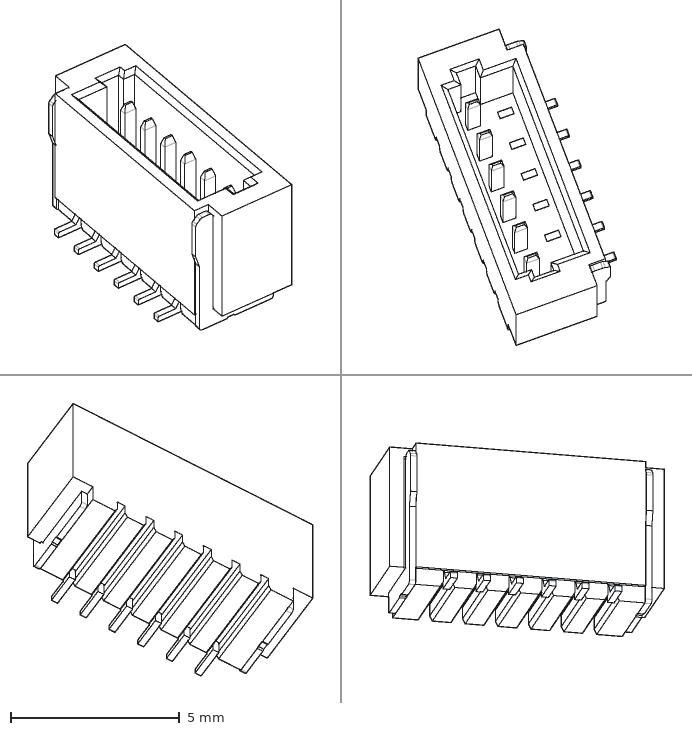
import cadquery as cq


height = 4.42
ear_span = 8.35
ear_front = -2.56
ear_bottom = 0.655
body_half_width = 3.49
body_front = -3.07
base_front = -2.95
base_height = 0.51

lead_in = 0.155
socket_half_width = 3.005
socket_back = -0.51
socket_front = -2.56
socket_floor = 1.0
left_key_end = -3.255
right_key_end = 3.395
key_lead_in = 0.13
key_back = -0.92
key_front = -1.53

pin_count = 6
pitch = 1.0
pin_width = 0.21
post_back = -0.91
post_front = -1.315
post_top = 3.785
tip_height = 0.24
tip_inset = 0.075
shoulder_back = -1.93
shoulder_front = -2.37
shoulder_rise = 0.03
lead_tip = -3.75
lead_thickness = 0.20
lead_tip_radius = 0.045
bend_start = -3.11
bend_top = 0.455
riser_back = base_front + lead_thickness

channel_width = 0.27
channel_mouth_width = 0.43
channel_mouth_height = 0.155

tab_thickness = 0.195
tab_slot_width = 0.245
tab_top = 4.22
tab_back = -2.50
tab_back_chamfer = 0.125
tab_back_radius = 0.10
tab_bulge_front = -3.165
tab_bulge_bottom = 2.845
tab_bulge_chamfer = 0.20
tab_bulge_radius = 0.12
tab_stem_front = -3.025
tab_stem_top = 2.42
tab_foot_back = -0.31
tab_foot_radius = 0.10
tab_notch_center = -1.87
tab_notch_bottom_width = 0.30
tab_notch_top_width = 0.20
tab_notch_height = 0.045

pin_xs = [(i - (pin_count - 1) / 2) * pitch for i in range(pin_count)]


def block(half_width, front, back, bottom, top):
    """Box centred on x = 0."""
    return (
        cq.Workplane("XY", origin=(0, (front + back) / 2, bottom))
        .rect(2 * half_width, back - front)
        .extrude(top - bottom)
    )


def side_plate(points, x_start, width):
    """Closed (y, z) outline extruded towards +X from x_start."""
    return cq.Workplane("YZ", origin=(x_start, 0, 0)).polyline(points).close().extrude(width)


def flared_pocket(half_width, front, back, side_flare):
    """Rectangular pocket whose rim flares outwards over the lead-in height."""
    flare_bottom = height - lead_in
    straight = block(half_width, front, back, socket_floor, flare_bottom)
    flare = (
        cq.Workplane("XY", origin=(0, (front + back) / 2, flare_bottom))
        .rect(2 * half_width, back - front)
        .workplane(offset=lead_in)
        .rect(2 * (half_width + side_flare), back - front + 2 * lead_in)
        .loft(ruled=True)
    )
    return straight.union(flare)


def pin_channel(x):
    """Channel along Y under the base, flared at its mouth."""
    half = channel_width / 2
    mouth_half = channel_mouth_width / 2
    outline = [
        (x - mouth_half, 0),
        (x - half, channel_mouth_height),
        (x - half, base_height),
        (x + half, base_height),
        (x + half, channel_mouth_height),
        (x + mouth_half, 0),
    ]
    return cq.Workplane("XZ").polyline(outline).close().extrude(-base_front)


def terminal(x):
    """Contact post, shoulder and bent solder lead of one terminal."""
    post_depth = post_back - post_front
    tip_bottom = post_top - tip_height
    post_center = (x, (post_back + post_front) / 2)
    post = (
        cq.Workplane("XY", origin=(*post_center, base_height))
        .rect(pin_width, post_depth)
        .extrude(tip_bottom - base_height)
    )
    tip = (
        cq.Workplane("XY", origin=(*post_center, tip_bottom))
        .rect(pin_width, post_depth)
        .workplane(offset=tip_height)
        .rect(pin_width - 2 * tip_inset, post_depth - 2 * tip_inset)
        .loft(ruled=True)
    )
    shoulder = block(
        pin_width / 2, shoulder_front, shoulder_back, base_height, socket_floor + shoulder_rise
    ).translate((x, 0, 0))
    lead_outline = [
        (lead_tip, 0),
        (lead_tip, lead_thickness),
        (bend_start, lead_thickness),
        (base_front, bend_top),
        (base_front, base_height),
        (riser_back, base_height),
        (riser_back, 0),
    ]
    lead = side_plate(lead_outline, x - pin_width / 2, pin_width)
    lead = lead.faces("<Y").edges(">Z").fillet(lead_tip_radius)
    return post.union(tip).union(shoulder).union(lead)


def tab_plate(x_start, width):
    """L-shaped tab profile: bulged upright in front of the ear, foot under it."""
    outline = [
        (tab_foot_back, 0),
        (tab_foot_back, ear_bottom),
        (tab_back, ear_bottom),
        (tab_back, tab_top - tab_back_chamfer),
        (tab_back - tab_back_chamfer, tab_top),
        (tab_bulge_front + tab_bulge_chamfer, tab_top),
        (tab_bulge_front, tab_top - tab_bulge_chamfer),
        (tab_bulge_front, tab_bulge_bottom),
        (tab_stem_front, tab_stem_top),
        (tab_stem_front, 0),
    ]
    plate = side_plate(outline, x_start, width)

    def corner(y, z):
        """Selector for the plate edge along X at (y, z)."""
        reach = 0.01
        return cq.selectors.BoxSelector(
            (x_start - reach, y - reach, z - reach), (x_start + width + reach, y + reach, z + reach)
        )

    plate = plate.edges(corner(tab_back - tab_back_chamfer, tab_top)).fillet(tab_back_radius)
    plate = plate.edges(corner(tab_bulge_front + tab_bulge_chamfer, tab_top)).fillet(tab_bulge_radius)
    plate = plate.edges(corner(tab_bulge_front, tab_top - tab_bulge_chamfer)).fillet(tab_bulge_radius)
    for foot_y in (tab_foot_back, tab_stem_front):
        plate = plate.edges(corner(foot_y, 0)).fillet(tab_foot_radius)
    return plate


def solder_tab():
    """Tab on the -X side, with a small notch in the underside of its foot."""
    x_start = -body_half_width - tab_thickness
    notch_outline = [
        (tab_notch_center - tab_notch_bottom_width / 2, 0),
        (tab_notch_center - tab_notch_top_width / 2, tab_notch_height),
        (tab_notch_center + tab_notch_top_width / 2, tab_notch_height),
        (tab_notch_center + tab_notch_bottom_width / 2, 0),
    ]
    notch = side_plate(notch_outline, x_start, tab_thickness)
    return tab_plate(x_start, tab_thickness).cut(notch)


def build_housing():
    ears = block(ear_span / 2, ear_front, 0, ear_bottom, height)
    body = block(body_half_width, body_front, 0, base_height, height)
    base = block(body_half_width, base_front, 0, 0, base_height)
    housing = ears.union(body).union(base)

    socket = flared_pocket(socket_half_width, socket_front, socket_back, lead_in)
    key_center = (left_key_end + right_key_end) / 2
    key_half_span = (right_key_end - left_key_end) / 2
    keys = flared_pocket(key_half_span, key_front, key_back, key_lead_in).translate((key_center, 0, 0))
    housing = housing.cut(socket).cut(keys)

    tab_slot = tab_plate(-body_half_width - tab_slot_width, tab_slot_width)
    housing = housing.cut(tab_slot).cut(tab_slot.mirror("YZ"))

    for x in pin_xs:
        housing = housing.cut(pin_channel(x))
    for x in pin_xs:
        housing = housing.union(terminal(x))
    return housing


housing = build_housing()
left_tab = solder_tab()
right_tab = left_tab.mirror("YZ")

result = cq.Compound.makeCompound([housing.val(), left_tab.val(), right_tab.val()])